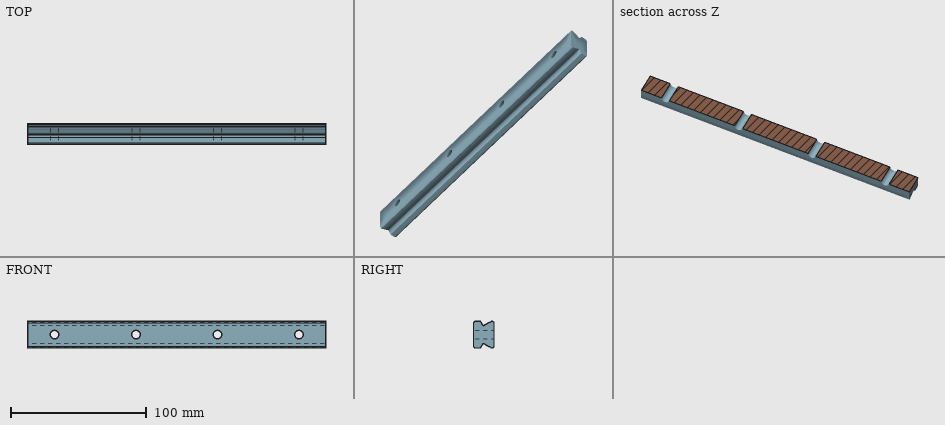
import cadquery as cq
import math

LENGTH = 220.0
DEPTH = 15.5
HEIGHT = 20.0

FRONT_CHAMFER = 1.3
LAND_END_Y = 5.3
GROOVE_DEPTH = 3.3
GROOVE_WALL_ANGLE = 60.0
GROOVE_FLOOR_WIDTH = 0.5
TRACK_END_Y = 11.5
TRACK_ANGLE = 30.0
LEDGE_END_Y = 12.8
LEDGE_ANGLE = 17.0
CREST_START_Y = 13.5
BACK_CHAMFER = 1.0

HOLE_DIAMETER = 6.2
HOLE_COUNT = 4
HOLE_PITCH = 60.0


def rail_outline():
    """Points (Y, Z) of the upper half from front to back, then their mirror below."""
    top = HEIGHT / 2
    floor_start = LAND_END_Y + GROOVE_DEPTH / math.tan(math.radians(GROOVE_WALL_ANGLE))
    floor_end = floor_start + GROOVE_FLOOR_WIDTH
    floor_z = top - GROOVE_DEPTH
    track_end_z = floor_z + (TRACK_END_Y - floor_end) * math.tan(math.radians(TRACK_ANGLE))
    ledge_end_z = track_end_z + (LEDGE_END_Y - TRACK_END_Y) * math.tan(math.radians(LEDGE_ANGLE))
    upper = [
        (0, top - FRONT_CHAMFER),
        (FRONT_CHAMFER, top),
        (LAND_END_Y, top),
        (floor_start, floor_z),
        (floor_end, floor_z),
        (TRACK_END_Y, track_end_z),
        (LEDGE_END_Y, ledge_end_z),
        (CREST_START_Y, top),
        (DEPTH - BACK_CHAMFER, top),
        (DEPTH, top - BACK_CHAMFER),
    ]
    lower = [(y, -z) for y, z in reversed(upper)]
    return upper + lower


body = cq.Workplane("YZ").polyline(rail_outline()).close().extrude(LENGTH / 2, both=True)

holes = (
    cq.Workplane("XZ")
    .rarray(HOLE_PITCH, 2.2, HOLE_COUNT, 1)
    .circle(HOLE_DIAMETER / 2)
    .extrude(-DEPTH)
)

result = body.cut(holes)